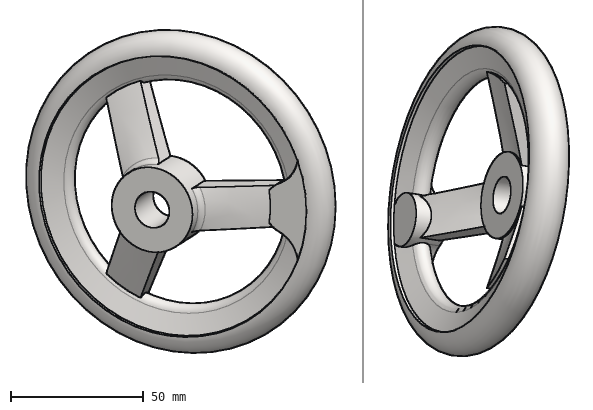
import cadquery as cq
import math

outer_radius = 62.5
tube_radius = 8.0
tube_center_radius = outer_radius - tube_radius
rim_depth = 2 * tube_radius
rim_mid_y = -tube_radius
total_depth = 36.0

step_depth = 1.2
step_inset = 0.2
dish_radius = 46.2
opening_radius = 43.5
dish_drop = 3.0

hub_radius = 16.5
bore_radius = 7.0
hub_back = 18.0

spoke_count = 3
axis_width = 17.4
rim_width = 15.6
spoke_start = 12.5
spoke_end = 45.0
front_at_hub = 29.1
front_slope = 0.63
back_at_hub = 18.6
back_slope = 0.54
blend_length = 2.0

boss_radius = 10.2
boss_x = 46.9
boss_front = rim_depth - step_depth
flare_end_x = 50.5
flare_end_z = 21.2


def make_rim():
    """Revolve the rim section, which is symmetric about its middle plane."""
    step_radius = tube_center_radius - step_inset
    step_y = -rim_depth + step_depth
    dish_y = step_y + dish_drop
    return (
        cq.Workplane("XY")
        .moveTo(tube_center_radius, 0)
        .threePointArc((outer_radius, rim_mid_y), (tube_center_radius, -rim_depth))
        .lineTo(step_radius, step_y)
        .lineTo(dish_radius, dish_y)
        .threePointArc((opening_radius, rim_mid_y), (dish_radius, 2 * rim_mid_y - dish_y))
        .lineTo(step_radius, -step_depth)
        .close()
        .revolve(360, (0, 0, 0), (0, 1, 0))
    )


def make_hub():
    return cq.Workplane("XZ", origin=(0, -hub_back, 0)).circle(hub_radius).extrude(total_depth - hub_back)


def front_y(radius):
    return -front_at_hub + front_slope * (radius - hub_radius)


def make_spokes():
    """Trim a conical web, blended into the hub wall, to tapered bars."""
    face_angle = math.atan(front_slope)
    blend_start_y = -front_at_hub - blend_length
    blend_end = hub_radius + blend_length * math.cos(face_angle)
    half_turn = (math.pi / 2 - face_angle) / 2
    blend_radius = blend_length / math.tan(half_turn)
    blend_middle = (
        hub_radius + blend_radius * (1 - math.cos(half_turn)),
        blend_start_y + blend_radius * math.sin(half_turn),
    )
    web = (
        cq.Workplane("XY")
        .moveTo(spoke_start, -back_at_hub)
        .lineTo(spoke_start, blend_start_y)
        .lineTo(hub_radius, blend_start_y)
        .threePointArc(blend_middle, (blend_end, front_y(blend_end)))
        .lineTo(spoke_end, front_y(spoke_end))
        .lineTo(spoke_end, -back_at_hub + back_slope * (spoke_end - hub_radius))
        .lineTo(hub_radius, -back_at_hub)
        .close()
        .revolve(360, (0, 0, 0), (0, 1, 0))
    )
    bar = (
        cq.Workplane("XZ")
        .moveTo(0, -axis_width / 2)
        .lineTo(outer_radius, -rim_width / 2)
        .lineTo(outer_radius, rim_width / 2)
        .lineTo(0, axis_width / 2)
        .close()
        .extrude(total_depth)
    )
    bars = bar
    for index in range(1, spoke_count):
        bars = bars.union(bar.rotate((0, 0, 0), (0, 1, 0), index * 360 / spoke_count))
    return web.intersect(bars)


def make_boss():
    """Round boss whose front flares out on both sides along the rim."""
    boss = (
        cq.Workplane("XZ", origin=(boss_x, -step_depth, 0))
        .circle(boss_radius)
        .extrude(boss_front - step_depth)
    )
    reach = flare_end_x - boss_x
    flare_radius = (reach**2 + flare_end_z**2 - boss_radius**2) / (2 * (boss_radius + reach))
    share = boss_radius / (boss_radius + flare_radius)
    touch_x = boss_x + share * (reach - flare_radius)
    touch_z = share * flare_end_z
    center_x = flare_end_x - flare_radius
    mid_angle = math.atan2(touch_z - flare_end_z, touch_x - center_x) / 2
    mid_x = center_x + flare_radius * math.cos(mid_angle)
    mid_z = flare_end_z + flare_radius * math.sin(mid_angle)
    flare = (
        cq.Workplane("XZ", origin=(0, rim_mid_y, 0))
        .moveTo(touch_x, -touch_z)
        .threePointArc((mid_x, -mid_z), (flare_end_x, -flare_end_z))
        .threePointArc((math.hypot(flare_end_x, flare_end_z), 0), (flare_end_x, flare_end_z))
        .threePointArc((mid_x, mid_z), (touch_x, touch_z))
        .close()
        .extrude(boss_front + rim_mid_y)
    )
    return boss.union(flare)


result = make_rim().union(make_hub()).union(make_spokes()).union(make_boss())
result = result.cut(cq.Workplane("XZ").circle(bore_radius).extrude(total_depth))